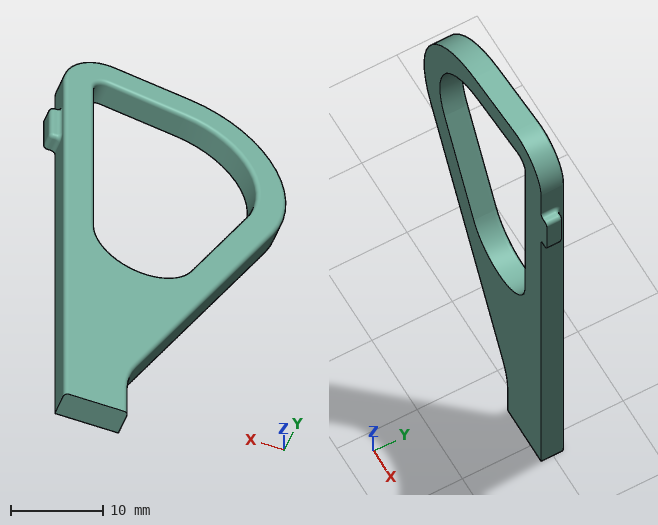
import cadquery as cq
import math

height = 61.54
body_width = 25.87
thickness = 3.0
stem_width = 7.4
wall = 3.5
top_angle = math.radians(10)
slant_angle = math.radians(26.9)

top_corner_radius = 5.0
shoulder_radius = 13.5
knee_radius = 10.0
hole_bottom_radius = 6.0
back_edge_radius = 0.5

tab_length = 1.3
tab_height = 5.2
tab_base = 47.0
tab_thickness = 2.0
tab_corner_radius = 0.5
tab_root_radius = 0.48


def top_edge_z(x, inset=0):
    """Height of the top edge line at x, moved inwards by inset."""
    rise = top_corner_radius * (1 + math.sin(top_angle)) / math.cos(top_angle)
    corner_z = height - top_corner_radius + rise
    return corner_z + x * math.tan(top_angle) - inset / math.cos(top_angle)


def slant_edge_z(x, inset=0):
    """Height of the slanted edge line at x, moved inwards by inset.

    The line is tangent to the shoulder arc, which also touches the top edge line
    and the left limit of the body.
    """
    center_x = shoulder_radius - body_width
    center_z = top_edge_z(center_x, shoulder_radius)
    drop = (shoulder_radius - inset) / math.sin(slant_angle)
    return center_z - drop - (x - center_x) / math.tan(slant_angle)


def shoulder_point(inset=0):
    """Sharp corner where the top edge line meets the slanted edge line."""
    gap = top_edge_z(0, inset) - slant_edge_z(0, inset)
    x = -gap / (math.tan(top_angle) + 1 / math.tan(slant_angle))
    return (x, top_edge_z(x, inset))


def plate(points, depth):
    """Extrude an XZ outline from the front face towards +Y."""
    return cq.Workplane("XZ").polyline(points).close().extrude(-depth)


def round_corner(solid, point, radius):
    """Round the upright edge that stands on an XZ outline point."""
    x, z = point
    nearest = cq.selectors.NearestToPointSelector((x, thickness / 2, z))
    return solid.edges("|Y").edges(nearest).fillet(radius)


def make_body():
    """Plate with the outer outline, before the hole is cut."""
    top_corner = (0, top_edge_z(0))
    shoulder = shoulder_point()
    knee = (-stem_width, slant_edge_z(-stem_width))
    body = plate([(0, 0), top_corner, shoulder, knee, (-stem_width, 0)], thickness)
    body = round_corner(body, top_corner, top_corner_radius)
    body = round_corner(body, shoulder, shoulder_radius)
    return round_corner(body, knee, knee_radius)


def make_hole():
    """Cutter for the finger hole, whose upper sides keep one wall thickness to the outline."""
    top_corner = (-wall, top_edge_z(-wall, wall))
    shoulder = shoulder_point(wall)
    bottom = (-wall, slant_edge_z(-wall, wall))
    hole = plate([top_corner, shoulder, bottom], thickness)
    hole = round_corner(hole, top_corner, top_corner_radius - wall)
    hole = round_corner(hole, shoulder, shoulder_radius - wall)
    return round_corner(hole, bottom, hole_bottom_radius)


def make_tab():
    """Small tab with rounded corners and back rim, one end buried in the right wall."""
    tab_top = tab_base + tab_height
    buried_end = -wall / 2
    tab = plate(
        [(buried_end, tab_base), (tab_length, tab_base), (tab_length, tab_top), (buried_end, tab_top)],
        tab_thickness,
    )
    tab = tab.edges("|Y and >X").fillet(tab_corner_radius)
    return tab.faces(">Y").edges("not <X").fillet(tab_corner_radius)


def root_edges():
    """Selector for the seam where the tab meets the right edge of the body."""
    reach = 0.01
    return cq.selectors.BoxSelector(
        (-reach, reach, tab_base - reach),
        (reach, thickness - back_edge_radius - reach, tab_base + tab_height + reach))


handle = make_body().cut(make_hole())
handle = handle.faces(">Y").edges("not <Z").fillet(back_edge_radius)
result = handle.union(make_tab())
result = result.edges(root_edges()).fillet(tab_root_radius)